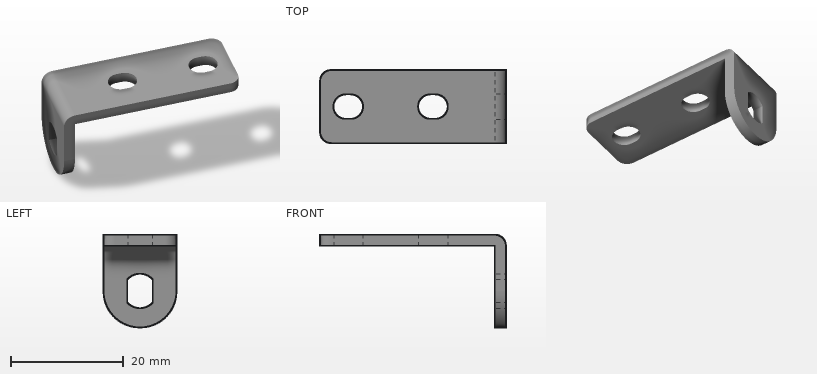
import cadquery as cq

length = 33.0
width = 13.0
height = 16.5
thickness = 2.0
corner_radius = 2.0
bend_radius = 2.0

slot_length = 5.2
slot_width = 4.3
first_slot_x = 5.0
slot_spacing = 15.0

hole_diameter = 6.07
hole_flat_width = 4.5
end_radius = width / 2
hole_z = end_radius


def horizontal_leg():
    """Flat leg with rounded corners at its free end."""
    leg = (
        cq.Workplane("XY", origin=(0, 0, height - thickness))
        .box(length, width, thickness, centered=(False, True, False))
    )
    return leg.edges("|Z and <X").fillet(corner_radius)


def vertical_leg():
    """Upright leg whose lower end is a full half circle."""
    return (
        cq.Workplane("YZ", origin=(length - thickness, 0, 0))
        .moveTo(-end_radius, height)
        .lineTo(-end_radius, end_radius)
        .threePointArc((0, 0), (end_radius, end_radius))
        .lineTo(end_radius, height)
        .close()
        .extrude(thickness)
    )


def slots():
    """Pair of round-ended slots through the horizontal leg."""
    return (
        cq.Workplane("XY", origin=(0, 0, height - thickness))
        .pushPoints([(first_slot_x, 0), (first_slot_x + slot_spacing, 0)])
        .slot2D(slot_length, slot_width)
        .extrude(thickness)
    )


def double_d_hole():
    """Round hole narrowed by two vertical flats."""
    plane = cq.Workplane("YZ", origin=(length - thickness, 0, hole_z))
    round_hole = plane.circle(hole_diameter / 2).extrude(thickness)
    flats = plane.rect(hole_flat_width, hole_diameter).extrude(thickness)
    return round_hole.intersect(flats)


bracket = horizontal_leg().union(vertical_leg())
bracket = bracket.edges("|Y and >X and >Z").fillet(bend_radius)
result = bracket.cut(slots()).cut(double_d_hole())